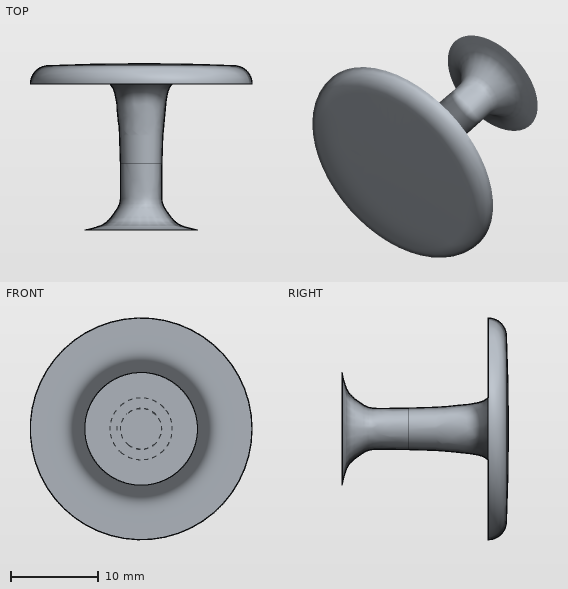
import cadquery as cq

total_length = 19.05
cap_radius = 12.7
cap_thickness = 2.34
crown_height = 0.23
edge_round = cap_thickness - crown_height
foot_radius = 6.45
waist_radius = 2.4
waist_y = 7.62
foot_flare_radius = 4.05
foot_flare_y = 0.85
foot_neck_radius = 3.05
foot_neck_y = 1.98
cap_neck_radius = 2.82
cap_neck_y = 14.35
cap_root_radius = 3.55

foot_direction = (-1, 0.25)
axis_direction = (0, 1)
cap_direction = (1, 1)

cap_face_y = total_length - cap_thickness
crown_start_y = total_length - crown_height
crown_start_radius = cap_radius - edge_round
diagonal = 0.5 ** 0.5

dome_radius = (crown_start_radius**2 + crown_height**2) / (2 * crown_height)
dome_mid_radius = crown_start_radius / 2
dome_mid_y = total_length - dome_radius + (dome_radius**2 - dome_mid_radius**2) ** 0.5

half_section = (
    cq.Workplane("XY")
    .lineTo(foot_radius, 0)
    .spline(
        [
            (foot_flare_radius, foot_flare_y),
            (foot_neck_radius, foot_neck_y),
            (waist_radius, waist_y),
        ],
        tangents=[foot_direction, axis_direction],
        includeCurrent=True,
    )
    .spline(
        [(cap_neck_radius, cap_neck_y), (cap_root_radius, cap_face_y)],
        tangents=[axis_direction, cap_direction],
        includeCurrent=True,
    )
    .lineTo(cap_radius, cap_face_y)
    .threePointArc(
        (crown_start_radius + edge_round * diagonal, cap_face_y + edge_round * diagonal),
        (crown_start_radius, crown_start_y),
    )
    .threePointArc((dome_mid_radius, dome_mid_y), (0, total_length))
    .close()
)

result = half_section.revolve(360, (0, 0, 0), (0, 1, 0))